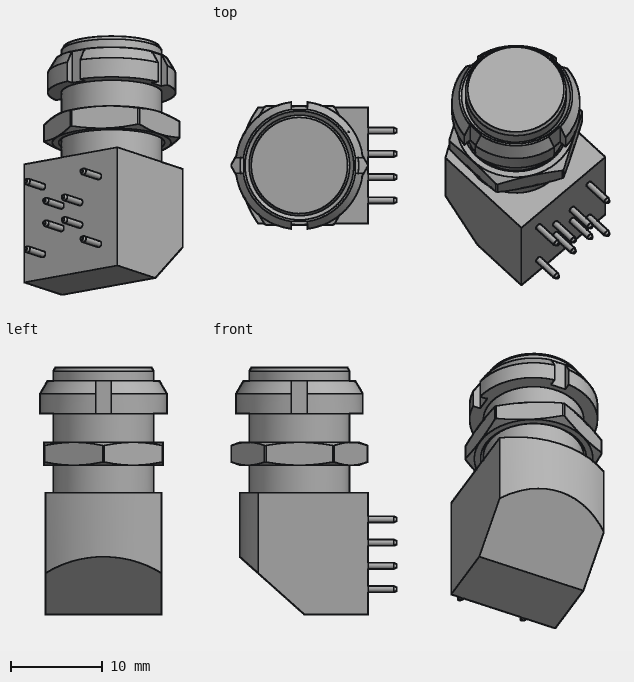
import cadquery as cq
import math

OVERALL_HEIGHT = 27.0

BLOCK_HEIGHT = 13.3
BLOCK_WIDTH = 12.7
BLOCK_REAR_X = 7.5
BLOCK_FLANK_X = -4.5
BLOCK_NOSE_X = -6.53
SLOPE_START_Z = 6.32
SLOPE_END_X = 0.55

BARREL_DIAMETER = 11.0
BARREL_TOP_DIAMETER = 10.5
BARREL_BEVEL_HEIGHT = 0.4

PIN_DIAMETER = 0.7
PIN_END_X = 10.65
PIN_TIP_LENGTH = 0.32
PIN_TIP_BEVEL = 0.15
PIN_PITCH = 2.55
PIN_CENTRE_Z = 6.6
INNER_OFFSET = PIN_PITCH / 2
OUTER_OFFSET = 3 * PIN_PITCH / 2

HEX_BOTTOM_Z = 16.3
HEX_HEIGHT = 2.5
HEX_ACROSS_FLATS = 13.01
HEX_CORNER_DIAMETER = 14.9
HEX_FACE_DIAMETER = 12.95
HEX_BEVEL_ANGLE = 20.0
HEX_BORE_CHAMFER = 0.3

RING_BOTTOM_Z = 21.95
RING_HEIGHT = 3.56
RING_DIAMETER = 13.99
RING_TOP_DIAMETER = 12.37
RING_CONE_HEIGHT = 1.4
RING_MOUTH_DIAMETER = 11.88
RING_MOUTH_DEPTH = (RING_MOUTH_DIAMETER - BARREL_DIAMETER) / 2
RING_SLOT_WIDTH = 1.73
RING_SLOT_FLOOR_RADIUS = 6.08
RING_SLOT_COUNT = 4


def make_block():
    half_width = BLOCK_WIDTH / 2
    block = (
        cq.Workplane("XY")
        .moveTo(BLOCK_REAR_X, -half_width)
        .lineTo(BLOCK_REAR_X, half_width)
        .lineTo(BLOCK_FLANK_X, half_width)
        .threePointArc((BLOCK_NOSE_X, 0), (BLOCK_FLANK_X, -half_width))
        .close()
        .extrude(BLOCK_HEIGHT)
    )
    below_slope = (
        cq.Workplane("XZ")
        .polyline([(BLOCK_NOSE_X, SLOPE_START_Z), (SLOPE_END_X, 0), (BLOCK_NOSE_X, 0)])
        .close()
        .extrude(half_width, both=True)
    )
    return block.cut(below_slope)


def make_barrel():
    bevel_width = (BARREL_DIAMETER - BARREL_TOP_DIAMETER) / 2
    return (
        cq.Workplane("XY", origin=(0, 0, BLOCK_HEIGHT))
        .circle(BARREL_DIAMETER / 2)
        .extrude(OVERALL_HEIGHT - BLOCK_HEIGHT)
        .faces(">Z")
        .edges()
        .chamfer(BARREL_BEVEL_HEIGHT, bevel_width)
    )


def make_pin(y, z):
    """Contact pin on the rear face of the block, with a bevelled tip."""
    radius = PIN_DIAMETER / 2
    profile = [
        (BLOCK_REAR_X, 0),
        (BLOCK_REAR_X, radius),
        (PIN_END_X - PIN_TIP_LENGTH, radius),
        (PIN_END_X, radius - PIN_TIP_BEVEL),
        (PIN_END_X, 0),
    ]
    pin = cq.Workplane("XY").polyline(profile).close().revolve(360, (0, 0), (1, 0))
    return pin.translate((0, y, z))


def make_housing():
    """Block, barrel and contact pins in one piece; the pins form two nested squares."""
    housing = make_block().union(make_barrel())
    for offset in (INNER_OFFSET, OUTER_OFFSET):
        for y in (-offset, offset):
            for z in (PIN_CENTRE_Z - offset, PIN_CENTRE_Z + offset):
                housing = housing.union(make_pin(y, z))
    return housing


def make_hex_nut():
    bore_radius = BARREL_DIAMETER / 2
    corner_radius = HEX_CORNER_DIAMETER / 2
    face_radius = HEX_FACE_DIAMETER / 2
    bevel_height = (corner_radius - face_radius) * math.tan(math.radians(HEX_BEVEL_ANGLE))
    hexagon = (
        cq.Workplane("XY")
        .polygon(6, HEX_ACROSS_FLATS / math.cos(math.pi / 6))
        .extrude(HEX_HEIGHT)
    )
    turned_profile = [
        (0, 0),
        (face_radius, 0),
        (corner_radius, bevel_height),
        (corner_radius, HEX_HEIGHT - bevel_height),
        (face_radius, HEX_HEIGHT),
        (0, HEX_HEIGHT),
    ]
    turned_blank = cq.Workplane("XZ").polyline(turned_profile).close().revolve(360, (0, 0), (0, 1))
    bore = cq.Workplane("XY").circle(bore_radius).extrude(HEX_HEIGHT)
    nut = hexagon.intersect(turned_blank).cut(bore)
    nut = nut.edges(cq.selectors.RadiusNthSelector(0)).chamfer(HEX_BORE_CHAMFER)
    return nut.translate((0, 0, HEX_BOTTOM_Z))


def make_ring_nut():
    bore_radius = BARREL_DIAMETER / 2
    outer_radius = RING_DIAMETER / 2
    profile = [
        (bore_radius, 0),
        (outer_radius, 0),
        (outer_radius, RING_HEIGHT - RING_CONE_HEIGHT),
        (RING_TOP_DIAMETER / 2, RING_HEIGHT),
        (RING_MOUTH_DIAMETER / 2, RING_HEIGHT),
        (bore_radius, RING_HEIGHT - RING_MOUTH_DEPTH),
    ]
    ring = cq.Workplane("XZ").polyline(profile).close().revolve(360, (0, 0), (0, 1))
    slot = cq.Workplane("XY").box(
        outer_radius, RING_SLOT_WIDTH, RING_HEIGHT, centered=(False, True, False)
    ).translate((RING_SLOT_FLOOR_RADIUS, 0, 0))
    for index in range(RING_SLOT_COUNT):
        ring = ring.cut(slot.rotate((0, 0, 0), (0, 0, 1), index * 360 / RING_SLOT_COUNT))
    return ring.translate((0, 0, RING_BOTTOM_Z))


housing = make_housing()
hex_nut = make_hex_nut()
ring_nut = make_ring_nut()

result = cq.Compound.makeCompound([housing.val(), hex_nut.val(), ring_nut.val()])